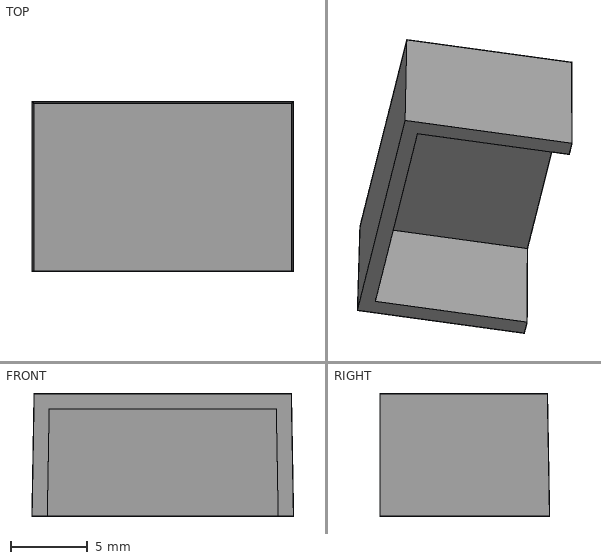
import cadquery as cq
import math

length = 17.1
width = 11.1
height = 8.0

wall = 1.01
draft_angle = 1.0

front_y = -width / 2
back_y = width / 2


def rectangle_at(z, half_length, back):
    """Wire centred on X that runs from the front plane to the given back position."""
    corners = [
        (-half_length, front_y),
        (half_length, front_y),
        (half_length, back),
        (-half_length, back),
    ]
    return cq.Workplane("XY", origin=(0, 0, z)).polyline(corners).close().val()


def drafted_block(half_length, back, block_height):
    """Block with an upright front face whose ends and back lean inward by the draft angle."""
    inset = block_height * math.tan(math.radians(draft_angle))
    bottom = rectangle_at(0, half_length, back)
    top = rectangle_at(block_height, half_length - inset, back - inset)
    return cq.Workplane(cq.Solid.makeLoft([bottom, top], True))


body = drafted_block(length / 2, back_y, height)

cavity = drafted_block(length / 2 - wall, back_y - wall, height - wall)

result = body.cut(cavity)